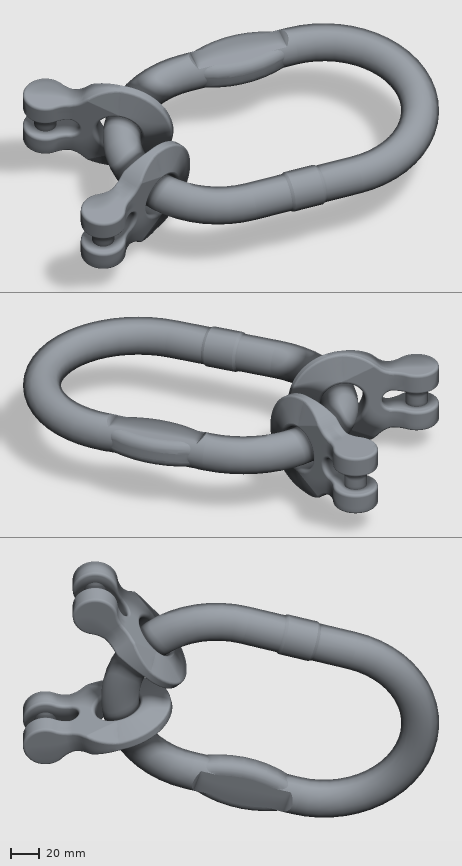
import cadquery as cq
import math

BAR_DIA = 27.0
RING_INNER_WIDTH = 110.0
RING_INNER_LENGTH = 190.0
BAR_RADIUS = BAR_DIA / 2
BEND_RADIUS = (RING_INNER_WIDTH + BAR_DIA) / 2
STRAIGHT_LENGTH = RING_INNER_LENGTH - RING_INNER_WIDTH

WELD_DIA = 29.02
WELD_LENGTH = 26.0
WELD_SLOPE_LENGTH = 2.2

PRESS_THICKNESS = 20.0
PRESS_FLAT_LENGTH = 66.6
BULGE_HALF_WIDTH = 18.84
BULGE_LENGTH_AT_BAR = 57.0
BULGE_CLIP_LENGTH = 64.0
BULGE_EDGE_RADIUS = 6.9

PIN_DIA = 16.0
FORK_HEIGHT = 46.0
EYE_DIA = 32.0
PLATE_THICKNESS = 17.4
EYE_TO_PLATE_RADIUS = 20.0
SLOT_WIDTH = 15.0
SLOT_DEPTH = 26.0
DISC_DIA = 76.0
DISC_OFFSET = 54.3
DISC_TO_FORK_RADIUS = 16.0
HOLE_DIA = 33.0
HOLE_EDGE_RADIUS = 2.5
CONE_INNER_RADIUS = 19.1
RIM_THICKNESS = 6.6
TAPER_RUNOUT = 0.45
TAPER_END = 25.0
FORK_LIMIT = 28.0
FORK_EDGE_RADIUS = 2.0
RIM_EDGE_RADIUS = 1.7

COUPLING_TILT = 30.0
PIN_X = 61.3
PIN_Y = -148.58


def oval_bar():
    """Round bar swept along two straight legs and two half-circle bends."""
    half_straight = STRAIGHT_LENGTH / 2
    path = (
        cq.Workplane("XY")
        .moveTo(BEND_RADIUS, -half_straight)
        .lineTo(BEND_RADIUS, half_straight)
        .threePointArc((0, half_straight + BEND_RADIUS), (-BEND_RADIUS, half_straight))
        .lineTo(-BEND_RADIUS, -half_straight)
        .threePointArc((0, -half_straight - BEND_RADIUS), (BEND_RADIUS, -half_straight))
        .close()
    )
    section = cq.Workplane("XZ", origin=(BEND_RADIUS, -half_straight, 0)).circle(BAR_RADIUS)
    return section.sweep(path)


def weld_bead():
    """Raised collar with sloped ends."""
    half_length = WELD_LENGTH / 2
    crest_half_length = half_length - WELD_SLOPE_LENGTH
    return (
        cq.Workplane("XY")
        .moveTo(0, -half_length)
        .lineTo(BAR_RADIUS, -half_length)
        .lineTo(WELD_DIA / 2, -crest_half_length)
        .lineTo(WELD_DIA / 2, crest_half_length)
        .lineTo(BAR_RADIUS, half_length)
        .lineTo(0, half_length)
        .close()
        .revolve(360, (0, 0, 0), (0, 1, 0))
        .translate((BEND_RADIUS, 0, 0))
    )


def press_cutter():
    """Space above the pressed flat, with 45 degree ramps at both ends."""
    depth = BAR_DIA - PRESS_THICKNESS
    half_flat = PRESS_FLAT_LENGTH / 2
    return (
        cq.Workplane("YZ")
        .moveTo(-half_flat, PRESS_THICKNESS / 2)
        .lineTo(half_flat, PRESS_THICKNESS / 2)
        .lineTo(half_flat + depth, PRESS_THICKNESS / 2 + depth)
        .lineTo(-half_flat - depth, PRESS_THICKNESS / 2 + depth)
        .close()
        .extrude(BAR_RADIUS, both=True)
        .translate((-BEND_RADIUS, 0, 0))
    )


def press_bulge():
    """Barrel-shaped pad with rounded long edges."""
    rise = BULGE_HALF_WIDTH - BAR_RADIUS
    half_chord = BULGE_LENGTH_AT_BAR / 2
    side_radius = (half_chord**2 + rise**2) / (2 * rise)
    half_clip = BULGE_CLIP_LENGTH / 2
    end_half_width = BULGE_HALF_WIDTH - side_radius + math.sqrt(side_radius**2 - half_clip**2)
    return (
        cq.Workplane("XY")
        .moveTo(end_half_width, -half_clip)
        .threePointArc((BULGE_HALF_WIDTH, 0), (end_half_width, half_clip))
        .lineTo(-end_half_width, half_clip)
        .threePointArc((-BULGE_HALF_WIDTH, 0), (-end_half_width, -half_clip))
        .close()
        .extrude(PRESS_THICKNESS / 2, both=True)
        .edges("%CIRCLE")
        .fillet(BULGE_EDGE_RADIUS)
        .translate((-BEND_RADIUS, 0, 0))
    )


def master_link():
    upper_cut = press_cutter()
    lower_cut = upper_cut.mirror("XY")
    return oval_bar().union(weld_bead()).cut(upper_cut).cut(lower_cut).union(press_bulge())


def arc_middle(centre, radius, start, end):
    """Middle point of the shorter arc from start to end."""
    along_x = (start[0] + end[0]) / 2 - centre[0]
    along_y = (start[1] + end[1]) / 2 - centre[1]
    scale = radius / math.hypot(along_x, along_y)
    return (centre[0] + along_x * scale, centre[1] + along_y * scale)


def flipped(point):
    """The point mirrored to the other side of the local Y axis."""
    return (-point[0], point[1])


def side_outline():
    """Fork and disc as seen along local X, extruded across the eye width."""
    disc_radius = DISC_DIA / 2
    half_fork = FORK_HEIGHT / 2
    blend_z = half_fork + DISC_TO_FORK_RADIUS
    centre_distance = disc_radius + DISC_TO_FORK_RADIUS
    blend_y = DISC_OFFSET - math.sqrt(centre_distance**2 - blend_z**2)
    on_disc = disc_radius / centre_distance

    fork_end = (blend_y, half_fork)
    disc_join = (DISC_OFFSET + (blend_y - DISC_OFFSET) * on_disc, blend_z * on_disc)
    blend_middle = arc_middle((blend_y, blend_z), DISC_TO_FORK_RADIUS, fork_end, disc_join)
    half = (
        cq.Workplane("YZ")
        .moveTo(-EYE_DIA, 0)
        .lineTo(-EYE_DIA, half_fork)
        .lineTo(*fork_end)
        .threePointArc(blend_middle, disc_join)
        .lineTo(DISC_OFFSET, 0)
        .close()
        .extrude(EYE_DIA, both=True)
    )
    disc = cq.Workplane("YZ").center(DISC_OFFSET, 0).circle(disc_radius).extrude(EYE_DIA, both=True)
    return half.union(half.mirror("XY")).union(disc)


def plan_outline():
    """Eye, neck and plate as seen along the pin, extruded over the disc height."""
    eye_radius = EYE_DIA / 2
    half_plate = PLATE_THICKNESS / 2
    far_end = DISC_OFFSET + DISC_DIA
    blend_x = half_plate + EYE_TO_PLATE_RADIUS
    centre_distance = eye_radius + EYE_TO_PLATE_RADIUS
    blend_y = math.sqrt(centre_distance**2 - blend_x**2)
    on_eye = eye_radius / centre_distance

    plate_end = (half_plate, blend_y)
    eye_join = (blend_x * on_eye, blend_y * on_eye)
    blend_middle = arc_middle((blend_x, blend_y), EYE_TO_PLATE_RADIUS, plate_end, eye_join)
    return (
        cq.Workplane("XY")
        .moveTo(half_plate, far_end)
        .lineTo(*plate_end)
        .threePointArc(blend_middle, eye_join)
        .threePointArc((0, -eye_radius), flipped(eye_join))
        .threePointArc(flipped(blend_middle), flipped(plate_end))
        .lineTo(-half_plate, far_end)
        .close()
        .extrude(DISC_DIA, both=True)
    )


def taper_envelope():
    """Cone behind the disc centre, flat tapers in front of it, unlimited at the fork."""
    half_plate = PLATE_THICKNESS / 2
    half_rim = RIM_THICKNESS / 2
    disc_radius = DISC_DIA / 2
    taper = (half_plate - half_rim) / (disc_radius - CONE_INNER_RADIUS)
    tip_half = half_rim / 2
    reach = (half_rim - tip_half) / taper

    cone = (
        cq.Workplane("XY", origin=(0, DISC_OFFSET, 0))
        .moveTo(-half_plate, 0)
        .lineTo(-half_plate, CONE_INNER_RADIUS)
        .lineTo(-tip_half, disc_radius + reach)
        .lineTo(tip_half, disc_radius + reach)
        .lineTo(half_plate, CONE_INNER_RADIUS)
        .lineTo(half_plate, 0)
        .close()
        .revolve(180, (0, 0, 0), (1, 0, 0))
        .rotate((0, DISC_OFFSET, 0), (1, DISC_OFFSET, 0), -90)
    )

    def section(sketch, shift):
        """Cross-section of the tapered plate, its flanks moved outward by the shift."""
        inner = CONE_INNER_RADIUS + shift
        outer = disc_radius + reach + shift
        return sketch.polyline(
            [
                (half_plate, -inner),
                (half_plate, inner),
                (tip_half, outer),
                (-tip_half, outer),
                (-half_plate, inner),
                (-half_plate, -inner),
                (-tip_half, -outer),
                (tip_half, -outer),
            ]
        ).close()

    length = DISC_OFFSET - TAPER_END
    front = section(cq.Workplane("XZ", origin=(0, DISC_OFFSET, 0)), 0)
    front = section(front.workplane(offset=length), length * TAPER_RUNOUT).loft(ruled=True)
    fork_space = cq.Workplane("XY").box(2 * EYE_DIA, 2 * TAPER_END, 2 * DISC_DIA)
    return cone.union(front).union(fork_space)


def fork_slot():
    """Round-ended gap between the two eyes."""
    radius = SLOT_WIDTH / 2
    return (
        cq.Workplane("YZ")
        .moveTo(-EYE_DIA, -radius)
        .lineTo(SLOT_DEPTH - radius, -radius)
        .threePointArc((SLOT_DEPTH, 0), (SLOT_DEPTH - radius, radius))
        .lineTo(-EYE_DIA, radius)
        .close()
        .extrude(EYE_DIA, both=True)
    )


def fork_edges(body):
    """Curved edges around the eyes, the neck and the slot."""
    edges = body.edges().vals()
    return [edge for edge in edges if edge.geomType() != "LINE" and edge.Center().y < FORK_LIMIT]


def rim_edges(body):
    """Curved edges around the thin rim of the disc, inside the plate faces."""
    inside = (PLATE_THICKNESS + RIM_THICKNESS) / 4
    edges = [edge for edge in body.edges().vals() if edge.geomType() != "LINE"]
    return [edge for edge in edges if edge.Center().y > FORK_LIMIT and abs(edge.Center().x) < inside]


def coupling_link():
    """One coupling link in local coordinates, with the pin axis at the origin."""
    body = side_outline().intersect(plan_outline()).intersect(taper_envelope())
    body = body.cut(fork_slot())
    body = body.newObject(fork_edges(body)).fillet(FORK_EDGE_RADIUS)
    body = body.newObject(rim_edges(body)).fillet(RIM_EDGE_RADIUS)

    hole = (
        cq.Workplane("YZ")
        .center(DISC_OFFSET, 0)
        .circle(HOLE_DIA / 2)
        .extrude(EYE_DIA, both=True)
    )
    body = body.cut(hole)
    near_hole = cq.selectors.BoxSelector(
        (-EYE_DIA, DISC_OFFSET - CONE_INNER_RADIUS, -CONE_INNER_RADIUS),
        (EYE_DIA, DISC_OFFSET + CONE_INNER_RADIUS, CONE_INNER_RADIUS),
        boundingbox=True,
    )
    body = body.edges(near_hole).edges("%CIRCLE").fillet(HOLE_EDGE_RADIUS)

    pin_hole = cq.Workplane("XY").circle(PIN_DIA / 2).extrude(FORK_HEIGHT, both=True)
    return body.cut(pin_hole)


def coupling_pin():
    """Pin flush with both outer faces of the fork."""
    lower_end = (0, 0, -FORK_HEIGHT / 2)
    return cq.Workplane("XY", origin=lower_end).circle(PIN_DIA / 2).extrude(FORK_HEIGHT)


ring = master_link()
bodies = [ring.solids().val()]
for side in (-1, 1):
    pin_place = (side * PIN_X, PIN_Y, 0)
    for part in (coupling_link(), coupling_pin()):
        placed = part.rotate((0, 0, 0), (0, 0, 1), side * COUPLING_TILT).translate(pin_place)
        bodies.append(placed.solids().val())

result = cq.Compound.makeCompound(bodies)